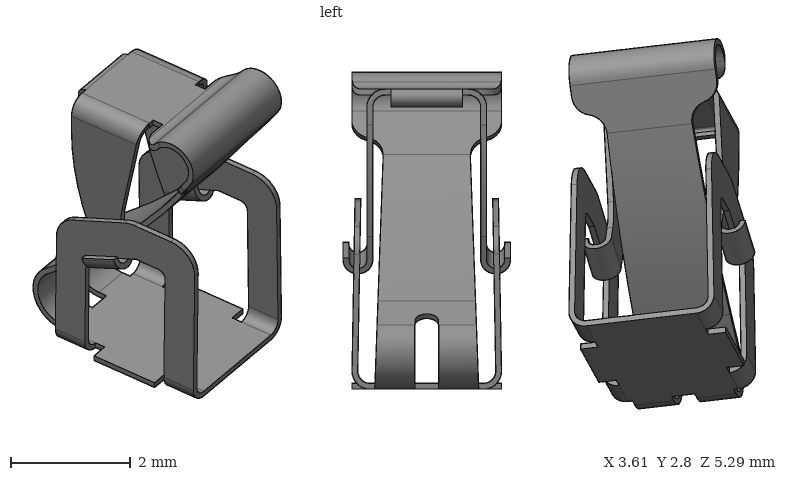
import cadquery as cq
import math

sheet = 0.1
fold_radius = 0.3

base_length = 2.853
body_half_width = 1.25
leg_width = 0.61
relief_width = 0.19
relief_half_width = body_half_width - fold_radius
frame_height = 3.18
frame_lean = 1.0
frame_slope = 21.5
frame_slope_end = 1.49
frame_front_radius = 0.5
frame_rear_radius = 0.5
frame_crest_radius = 0.55
opening_top = 2.495
opening_slope_end = 1.646
opening_rear_radius = 0.15

lower_loop_radius = 0.6
lower_loop_x = -0.155
arm_lower_angle = 38.8
arm_upper_angle = 56.3
arm_bend_radius = 10.95
arm_half_width_bottom = 0.87
arm_half_width_top = 0.73
upper_loop_radius = 0.455
upper_loop_x = base_length - upper_loop_radius
upper_loop_z = 4.838
shoulder_radius = 0.35

slot_half_width = 0.2
slot_reach = 0.3

top_z = 5.008
reverse_radius = 0.343
head_corner_radius = 0.4
head_front_x = 1.745
neck_half_width = 0.6
hem_radius = 0.15
hem_turn = 200.0
tab_half_width = 1.0
tab_top_rear_x = 1.55
tab_rear_slant = 11.1
tab_knee_radius = 0.9
tab_straight_z = 4.41

hook_slope = 22.0
hook_front_x = 0.67
hook_front_z = 2.156
hook_length = 0.71
hook_radius = 0.25
hook_lip = 0.035

half_sheet = sheet / 2
margin = 1.0


def direction(angle):
    """Unit vector in the XZ plane at an angle in degrees."""
    return math.cos(math.radians(angle)), math.sin(math.radians(angle))


def step(point, angle, distance):
    """Point reached from another one along an angle."""
    dx, dz = direction(angle)
    return point[0] + distance * dx, point[1] + distance * dz


def extrude_across(profile, half_width):
    """Extrude a closed XZ profile symmetrically about Y = 0."""
    return profile.extrude(half_width, both=True)


def bent_strip(start, heading, bends, half_width):
    """Sheet strip whose middle line starts at a point and runs through bends.

    Each bend is (length, radius, turn): a straight, then an arc turning left for
    a positive turn.
    """
    strip = None
    for length, radius, turn in bends:
        pieces = []
        if length > 0:
            end = step(start, heading, length)
            corners = [
                step(start, heading + 90, half_sheet),
                step(end, heading + 90, half_sheet),
                step(end, heading - 90, half_sheet),
                step(start, heading - 90, half_sheet),
            ]
            pieces.append(cq.Workplane("XZ").polyline(corners).close())
            start = end
        if turn:
            side = 90 if turn > 0 else -90
            center = step(start, heading + side, radius)
            first = heading - side
            middle = first + turn / 2
            last = first + turn
            outer = radius + half_sheet
            inner = radius - half_sheet
            pieces.append(
                cq.Workplane("XZ")
                .moveTo(*step(center, first, outer))
                .threePointArc(step(center, middle, outer), step(center, last, outer))
                .lineTo(*step(center, last, inner))
                .threePointArc(step(center, middle, inner), step(center, first, inner))
                .close()
            )
            start = step(center, last, radius)
            heading += turn
        for piece in pieces:
            body = extrude_across(piece, half_width)
            strip = body if strip is None else strip.union(body)
    return strip


def both_sides(body):
    """A body together with its mirror image about Y = 0."""
    return body.union(body.mirror("XZ"))


def folded_side(center_y, center_z, first_angle, turn, wall_height):
    """Side fold with the flat wall after it: a YZ section extruded along the base."""
    center = (center_y, center_z)
    last_angle = first_angle + turn
    middle_angle = first_angle + turn / 2
    wall_angle = last_angle + math.copysign(90, turn)
    inner = fold_radius - sheet
    outer_end = step(center, last_angle, fold_radius)
    inner_end = step(center, last_angle, inner)
    return (
        cq.Workplane("YZ")
        .moveTo(*step(center, first_angle, fold_radius))
        .threePointArc(step(center, middle_angle, fold_radius), outer_end)
        .lineTo(*step(outer_end, wall_angle, wall_height))
        .lineTo(*step(inner_end, wall_angle, wall_height))
        .lineTo(*inner_end)
        .threePointArc(step(center, middle_angle, inner), step(center, first_angle, inner))
        .close()
        .extrude(base_length)
    )


def round_corner(body, corner, radius):
    """Round the edge along Y at an XZ corner of a body reaching from Y = 0 to the full width."""
    middle = (corner[0], body_half_width, corner[1])
    return body.edges(cq.selectors.NearestToPointSelector(middle)).fillet(radius)


def meet(point, angle, other, other_angle):
    """Intersection of two lines, each given by a point and an angle."""
    dx, dz = direction(angle)
    ox, oz = direction(other_angle)
    gap_x = other[0] - point[0]
    gap_z = other[1] - point[1]
    distance = (gap_x * oz - gap_z * ox) / (dx * oz - dz * ox)
    return step(point, angle, distance)


def make_base():
    """Base plate with a wider flap between the legs on either side."""
    flap_front = leg_width + relief_width
    flap_length = base_length - 2 * flap_front
    plate = cq.Workplane("XY").box(
        base_length, 2 * relief_half_width, sheet, centered=(False, True, False)
    )
    flap = cq.Workplane("XY").box(
        flap_length, 2 * body_half_width, sheet, centered=(False, True, False)
    )
    return plate.union(flap.translate((flap_front, 0, 0)))


def make_frames():
    """Arched side frames: the legs fold up from the base and lean inwards."""
    slope = math.tan(math.radians(frame_slope))
    front_corner_z = frame_height - frame_slope_end * slope
    opening_front_z = opening_top - (opening_slope_end - leg_width) * slope
    opening_rear_x = base_length - leg_width
    outline = (
        cq.Workplane("XZ")
        .polyline([
            (0, 0), (0, front_corner_z), (frame_slope_end, frame_height),
            (base_length, frame_height), (base_length, 0),
        ])
        .close()
        .extrude(-2 * body_half_width)
    )
    outline = round_corner(outline, (0, front_corner_z), frame_front_radius)
    outline = round_corner(outline, (frame_slope_end, frame_height), frame_crest_radius)
    outline = round_corner(outline, (base_length, frame_height), frame_rear_radius)
    opening = (
        cq.Workplane("XZ")
        .polyline([
            (leg_width, -margin), (leg_width, opening_front_z), (opening_slope_end, opening_top),
            (opening_rear_x, opening_top), (opening_rear_x, -margin),
        ])
        .close()
        .extrude(-2 * body_half_width)
    )
    opening = round_corner(opening, (opening_rear_x, opening_top), opening_rear_radius)
    wall = folded_side(relief_half_width, fold_radius, -90, 90 + frame_lean, frame_height)
    return both_sides(wall.intersect(outline.cut(opening)))


lower_bend = lower_loop_radius - half_sheet
upper_bend = upper_loop_radius - half_sheet
lower_loop_end = step((lower_loop_x, lower_loop_radius), arm_lower_angle + 90, lower_bend)
upper_loop_start = step((upper_loop_x, upper_loop_z), arm_upper_angle - 90, upper_bend)


def arm_straights():
    """Lengths of the straight parts below and above the wide arm bend."""
    corner = meet(lower_loop_end, arm_lower_angle, upper_loop_start, arm_upper_angle)
    half_turn = math.radians(arm_upper_angle - arm_lower_angle) / 2
    tangent = arm_bend_radius * math.tan(half_turn)
    below = math.dist(lower_loop_end, corner) - tangent
    above = math.dist(upper_loop_start, corner) - tangent
    return below, above


straight_below, straight_above = arm_straights()
shoulder_start = step(upper_loop_start, arm_upper_angle, -straight_above)


def make_arm():
    """Lower loop and arm up to the shoulders, tapering in width."""
    strip = bent_strip(
        (0, half_sheet), 180,
        [
            (-lower_loop_x, lower_bend, arm_lower_angle - 180),
            (straight_below, arm_bend_radius, arm_upper_angle - arm_lower_angle),
            (straight_above, 0, 0),
        ],
        body_half_width,
    )
    taper = (
        cq.Workplane("YZ")
        .polyline([
            (-arm_half_width_bottom, 0), (arm_half_width_bottom, 0),
            (arm_half_width_top, shoulder_start[1]), (arm_half_width_top, top_z),
            (-arm_half_width_top, top_z), (-arm_half_width_top, shoulder_start[1]),
        ])
        .close()
        .extrude(base_length, both=True)
    )
    return strip.intersect(taper).cut(make_slot())


def make_slot():
    """Slot around the lower loop, round-ended in the base and in the arm."""
    center = (lower_loop_x, lower_loop_radius)
    reach = lower_loop_radius + sheet
    top_angle = arm_lower_angle + 90
    bottom_angle = 270
    around_loop = extrude_across(
        cq.Workplane("XZ")
        .moveTo(*center)
        .lineTo(*step(center, bottom_angle, reach))
        .threePointArc(
            step(center, (bottom_angle + top_angle) / 2, reach),
            step(center, top_angle, reach),
        )
        .close(),
        slot_half_width,
    )
    dx, dz = direction(arm_lower_angle)
    base_plane = cq.Plane(origin=(lower_loop_x, 0, 0), xDir=(1, 0, 0), normal=(0, 0, 1))
    arm_plane = cq.Plane(
        origin=(lower_loop_end[0], 0, lower_loop_end[1]), xDir=(dx, 0, dz), normal=(-dz, 0, dx)
    )
    return around_loop.union(slot_end(base_plane)).union(slot_end(arm_plane))


def slot_end(plane):
    """Round-ended end of the slot, starting at a plane's origin along its x."""
    straight = slot_reach - slot_half_width
    return (
        cq.Workplane(plane)
        .moveTo(0, -slot_half_width)
        .lineTo(straight, -slot_half_width)
        .threePointArc((slot_reach, 0), (straight, slot_half_width))
        .lineTo(0, slot_half_width)
        .close()
        .extrude(2 * sheet, both=True)
    )


def make_head():
    """Shoulders, upper loop and reverse bend, ending at the top plate."""
    lift = top_z + reverse_radius - upper_loop_z
    center_distance = upper_loop_radius + reverse_radius
    junction = 180 - math.degrees(math.asin(lift / center_distance))
    reverse_x = upper_loop_x - math.sqrt(center_distance ** 2 - lift ** 2)
    head = bent_strip(
        shoulder_start, arm_upper_angle,
        [
            (straight_above, upper_bend, junction + 90 - arm_upper_angle),
            (0, reverse_radius + half_sheet, 90 - junction),
            (reverse_x - head_front_x, 0, 0),
        ],
        body_half_width,
    )
    return head.cut(make_shoulder_cuts()).cut(make_head_corner_cuts())


def make_shoulder_cuts():
    """Waste beside the shoulders, cut square to the sloping sheet."""
    side_y = body_half_width - shoulder_radius
    neck_y = arm_half_width_top + shoulder_radius
    rise = math.sqrt((2 * shoulder_radius) ** 2 - (neck_y - side_y) ** 2)
    blend = ((side_y + neck_y) / 2, rise / 2)
    lean = math.degrees(math.atan2(neck_y - side_y, rise))
    neck_middle = step((neck_y, 0), 180 - (90 - lean) / 2, shoulder_radius)
    side_middle = step((side_y, rise), -(90 - lean) / 2, shoulder_radius)
    dx, dz = direction(arm_upper_angle)
    plane = cq.Plane(
        origin=(shoulder_start[0], 0, shoulder_start[1]), xDir=(0, 1, 0), normal=(dz, 0, -dx)
    )
    waste = (
        cq.Workplane(plane)
        .moveTo(arm_half_width_top, 0)
        .threePointArc(neck_middle, blend)
        .threePointArc(side_middle, (body_half_width, rise))
        .lineTo(body_half_width + margin, rise)
        .lineTo(body_half_width + margin, -margin)
        .lineTo(arm_half_width_top, -margin)
        .close()
        .extrude(sheet, both=True)
    )
    return both_sides(waste)


def make_head_corner_cuts():
    """Waste outside the rounded front corners of the head."""
    size = head_corner_radius
    inset = size * (1 - math.sqrt(0.5))
    corner = (
        cq.Workplane("XY", origin=(head_front_x, body_half_width, upper_loop_z))
        .moveTo(0, -size)
        .threePointArc((inset, -inset), (size, 0))
        .lineTo(0, 0)
        .close()
        .extrude(margin)
    )
    return both_sides(corner)


def make_top():
    """Top plate: narrow neck behind, full width between the tabs, hem in front."""
    middle_z = top_z - half_sheet
    neck_length = head_front_x - tab_top_rear_x
    plate_length = tab_top_rear_x - hem_radius
    hem = (0, hem_radius - half_sheet, hem_turn)
    neck = bent_strip((head_front_x, middle_z), 180, [(neck_length, 0, 0)], neck_half_width)
    plate = bent_strip(
        (tab_top_rear_x, middle_z), 180, [(plate_length, 0, 0)], tab_half_width - fold_radius
    )
    return neck.union(plate).union(bent_strip((hem_radius, middle_z), 180, [hem], neck_half_width))


def make_tabs():
    """Side tabs folded down from the top plate, with hooks along their feet."""
    up = hook_slope + 90
    front_bottom = (hook_front_x, hook_front_z)
    rear_bottom = step(front_bottom, hook_slope, hook_length)
    front_corner = meet(front_bottom, up, (hem_radius, top_z), -90)
    tangent = tab_straight_z - front_corner[1]
    curve_radius = tangent / math.tan(math.radians(hook_slope) / 2)
    curve_center = (hem_radius + curve_radius, tab_straight_z)
    curve_middle = step(curve_center, 180 + hook_slope / 2, curve_radius)
    rear_knee = meet(rear_bottom, up, (tab_top_rear_x, top_z), -90 - tab_rear_slant)
    outline = (
        cq.Workplane("XZ")
        .moveTo(*front_bottom)
        .lineTo(*step(front_corner, up, -tangent))
        .threePointArc(curve_middle, (hem_radius, tab_straight_z))
        .lineTo(hem_radius, top_z)
        .lineTo(tab_top_rear_x, top_z)
        .lineTo(*rear_knee)
        .lineTo(*rear_bottom)
        .close()
        .extrude(-2 * body_half_width)
    )
    outline = round_corner(outline, rear_knee, tab_knee_radius)
    fold_center_y = tab_half_width - fold_radius
    fold_center_z = top_z - fold_radius
    wall = folded_side(fold_center_y, fold_center_z, 90, -90, fold_center_z)
    return both_sides(wall.intersect(outline).union(make_hook()))


def make_hook():
    """Half-round trough with a short outer lip, extruded along the hook slope."""
    dx, dz = direction(hook_slope)
    plane = cq.Plane(origin=(hook_front_x, 0, hook_front_z), xDir=(0, 1, 0), normal=(dx, 0, dz))
    inner_y = tab_half_width - sheet
    outer_y = inner_y + 2 * hook_radius
    middle_y = inner_y + hook_radius
    return (
        cq.Workplane(plane)
        .moveTo(inner_y, 0)
        .threePointArc((middle_y, -hook_radius), (outer_y, 0))
        .lineTo(outer_y, hook_lip)
        .lineTo(outer_y - sheet, hook_lip)
        .lineTo(outer_y - sheet, 0)
        .threePointArc((middle_y, sheet - hook_radius), (tab_half_width, 0))
        .close()
        .extrude(hook_length)
    )


result = (
    make_base()
    .union(make_frames())
    .union(make_arm())
    .union(make_head())
    .union(make_top())
    .union(make_tabs())
)